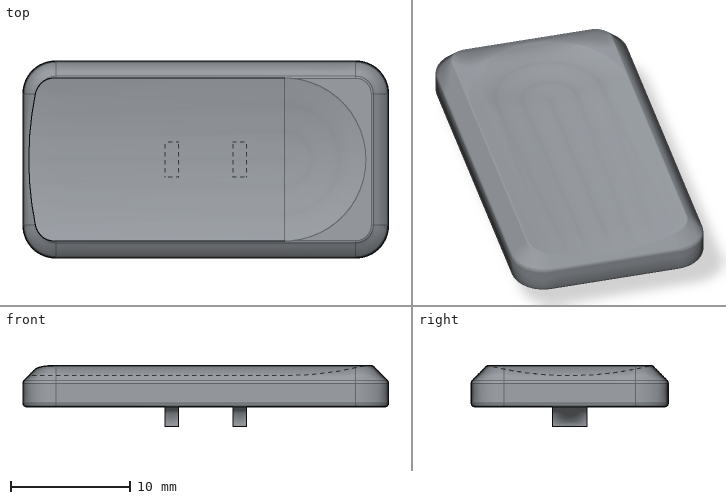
import cadquery as cq

length = 30.7
width = 16.55
total_height = 5.13
foot_height = 1.65
plate_height = total_height - foot_height
corner_radius = 2.75
bevel = 1.35
edge_radius = 0.3
bevel_radius = 0.37
top_radius = 0.25

dish_half_width = 6.85
dish_depth = 0.85
dish_cap_x = 6.6
dish_radius = (dish_half_width**2 + dish_depth**2) / (2 * dish_depth)
dish_axis_z = plate_height - dish_depth + dish_radius

foot_length = 1.17
foot_width = 2.92
foot_spacing = 5.7


def rounded_plate():
    plate = (
        cq.Workplane("XY")
        .box(length, width, plate_height, centered=(True, True, False))
        .edges("|Z").fillet(corner_radius)
        .faces(">Z").chamfer(bevel)
    )
    wall_top = plate_height - bevel
    margin = 0.03
    wall_rim = cq.selectors.BoxSelector(
        (-length, -width, wall_top - margin),
        (length, width, wall_top + margin),
    )
    plate = plate.edges(wall_rim).fillet(bevel_radius)
    plate = plate.faces(">Z").edges().fillet(top_radius)
    return plate.faces("<Z").edges().fillet(edge_radius)


def finger_dish():
    trough_length = length / 2 + dish_cap_x
    trough = (
        cq.Workplane("YZ", origin=(-length / 2, 0, 0))
        .center(0, dish_axis_z)
        .circle(dish_radius)
        .extrude(trough_length)
    )
    cap = (
        cq.Workplane("XY")
        .sphere(dish_radius)
        .translate((dish_cap_x, 0, dish_axis_z))
    )
    return trough.union(cap)


def feet():
    return (
        cq.Workplane("XY")
        .rarray(foot_spacing, 0.3, 2, 1)
        .rect(foot_length, foot_width)
        .extrude(-foot_height)
    )


result = rounded_plate().cut(finger_dish()).union(feet())